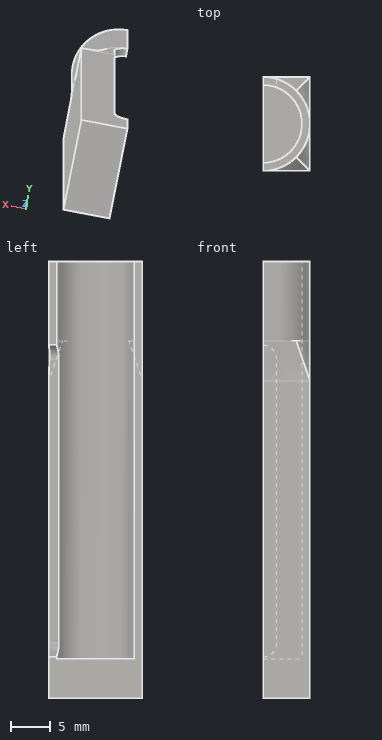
import cadquery as cq
import math

length = 55.0
width = 11.8
outer_radius = width / 2
bore_radius = 4.9

floor_height = 5.0
collar_height = 10.0
transition_height = 5.0
collar_bottom = length - collar_height
shaft_top = collar_bottom - transition_height

relief_depth = 1.65
relief_end_radius = 1.75
relief_bottom = 5.2
relief_top = 44.5


def rectangular_shaft():
    """Rectangular bar from the base up to the transition."""
    return cq.Workplane("XY").box(outer_radius, width, shaft_top, centered=(False, True, False))


def half_round_collar():
    """Half cylinder at the top end."""
    return (
        cq.Workplane("XY", origin=(0, 0, collar_bottom))
        .moveTo(0, -outer_radius)
        .threePointArc((outer_radius, 0), (0, outer_radius))
        .close()
        .extrude(collar_height)
    )


def transition():
    """Ruled blend from the rectangle to the half circle, corners joined to the 45 degree points."""
    rectangle = (
        cq.Workplane("XY", origin=(0, 0, shaft_top))
        .moveTo(0, -outer_radius)
        .lineTo(outer_radius, -outer_radius)
        .lineTo(outer_radius, outer_radius)
        .lineTo(0, outer_radius)
        .close()
        .val()
    )

    def arc_point(degrees):
        angle = math.radians(degrees)
        return (outer_radius * math.cos(angle), outer_radius * math.sin(angle))

    half_circle = (
        cq.Workplane("XY", origin=(0, 0, collar_bottom))
        .moveTo(0, -outer_radius)
        .threePointArc(arc_point(-67.5), arc_point(-45))
        .threePointArc(arc_point(0), arc_point(45))
        .threePointArc(arc_point(67.5), (0, outer_radius))
        .close()
        .val()
    )
    return cq.Workplane(cq.Solid.makeLoft([rectangle, half_circle], True))


def bore():
    """Round channel from the floor through the top end."""
    return (
        cq.Workplane("XY", origin=(0, 0, floor_height))
        .circle(bore_radius)
        .extrude(length - floor_height)
    )


def wall_relief():
    """Cut-back of the +Y wall; its ends curve from the open face into the flat bottom."""
    arc_center_x = relief_depth - relief_end_radius
    end_rise = math.sqrt(relief_end_radius**2 - arc_center_x**2)
    flat_bottom = relief_bottom + end_rise
    flat_top = relief_top - end_rise
    half_sweep = math.atan2(end_rise, -arc_center_x) / 2
    middle_x = arc_center_x + relief_end_radius * math.cos(half_sweep)
    middle_rise = relief_end_radius * math.sin(half_sweep)
    return (
        cq.Workplane("XZ")
        .moveTo(0, relief_bottom)
        .threePointArc((middle_x, flat_bottom - middle_rise), (relief_depth, flat_bottom))
        .lineTo(relief_depth, flat_top)
        .threePointArc((middle_x, flat_top + middle_rise), (0, relief_top))
        .close()
        .extrude(-width)
    )


body = rectangular_shaft().union(transition()).union(half_round_collar())
result = body.cut(bore()).cut(wall_relief())